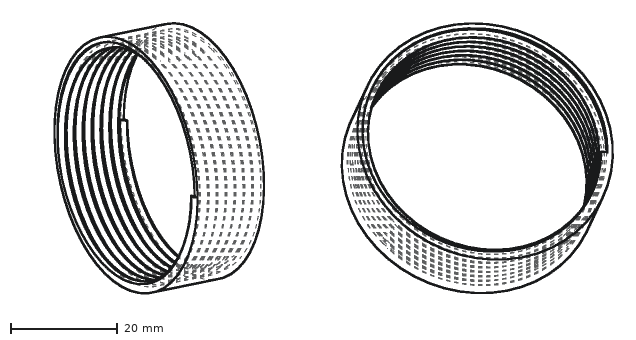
import cadquery as cq

outer_diameter = 49.0
root_diameter = 47.0
crest_diameter = 44.55
ring_length = 15.0
pitch = 2.0

crest_width = pitch / 8
base_width = pitch * 7 / 8
root_radius = root_diameter / 2
crest_radius = crest_diameter / 2
embed_depth = 0.15
tube_seam_angle = 100


def make_tube():
    return (
        cq.Workplane("XY")
        .circle(outer_diameter / 2)
        .circle(root_radius)
        .extrude(ring_length)
        .rotate((0, 0, 0), (0, 0, 1), tube_seam_angle)
    )


def make_thread_ridge():
    """Right-handed ridge starting at +X, its centreline running from end face to end face."""
    helix = cq.Wire.makeHelix(pitch, ring_length, root_radius)
    flank_run = (base_width - crest_width) / 2 / (root_radius - crest_radius)
    buried_width = base_width + 2 * embed_depth * flank_run
    buried_radius = root_radius + embed_depth
    profile = [
        (crest_radius, -crest_width / 2),
        (buried_radius, -buried_width / 2),
        (buried_radius, buried_width / 2),
        (crest_radius, crest_width / 2),
    ]
    ridge = cq.Workplane("XZ").polyline(profile).close().sweep(helix, isFrenet=True)
    envelope = cq.Workplane("XY").circle(outer_diameter / 2).extrude(ring_length)
    return ridge.intersect(envelope)


ring = make_tube().union(make_thread_ridge()).clean()

result = ring.rotate((0, 0, 0), (1, 0, 0), -90)